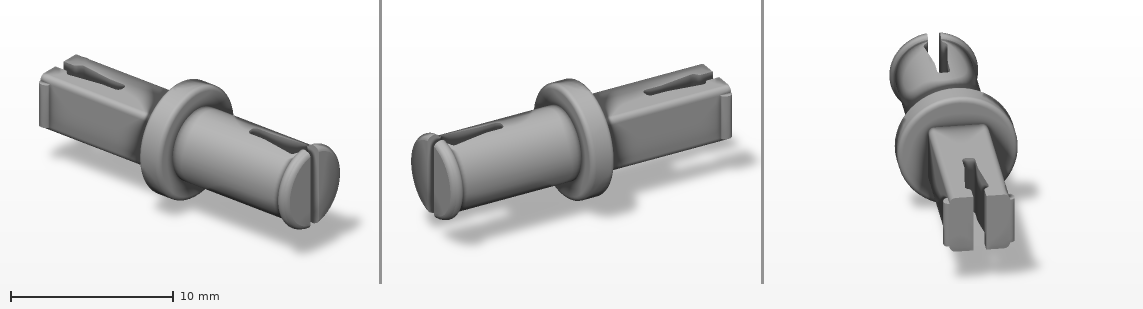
import cadquery as cq

length = 20.2

collar_diameter = 7.5
collar_start = 9.25
collar_width = 1.68
collar_end = collar_start + collar_width
collar_round = 0.3

square_side = 3.75
square_round = 0.38
barb_width = 0.77
barb_crest = 2.22
barb_nose = 0.15

shaft_diameter = 4.87
bead_width = 0.83
bead_diameter = 5.51
bead_nose = 0.26

nose_drop = 0.06
nose_middle_drop = 0.16
nose_middle = 0.35
back_drop = 0.2

mouth_half_width = 0.4
mouth_length = 0.95
belly_half_width = 0.77
belly_corner = 1.15
taper_end = 3.7
slot_length = 5.03
slot_round = 0.3
taper_round = 3.03


def cylinder(start, width, diameter):
    """Solid disc or shaft along X."""
    return cq.Workplane("YZ", origin=(start, 0, 0)).circle(diameter / 2).extrude(width)


def ridge_profile(width, crest, base, nose):
    """Ridge section in XY from the X axis up, with its lead-in at X = 0."""
    return (
        cq.Workplane("XY")
        .lineTo(0, base)
        .threePointArc((nose * nose_middle, crest - nose_middle_drop), (nose, crest - nose_drop))
        .threePointArc((width / 2, crest), (width, crest - back_drop))
        .lineTo(width, 0)
        .close()
    )


def barb():
    """Ridge on the +Y face, running between the rounded corners."""
    profile = ridge_profile(barb_width, barb_crest, square_side / 2, barb_nose)
    return profile.extrude(square_side / 2 - square_round, both=True)


def bead():
    """Ridge revolved around the far end of the shaft, lead-in facing +X."""
    profile = ridge_profile(bead_width, bead_diameter / 2, shaft_diameter / 2, bead_nose)
    ring = profile.revolve(360, (0, 0, 0), (1, 0, 0))
    return ring.mirror("YZ").translate((length, 0, 0))


def spring_slot():
    """Narrow mouth, wide belly and tapered root, cut through along Z from X = 0."""
    upper_side = [
        (0, mouth_half_width),
        (mouth_length, mouth_half_width),
        (belly_corner, belly_half_width),
        (taper_end, mouth_half_width),
        (slot_length, mouth_half_width),
    ]
    lower_side = [(x, -y) for x, y in reversed(upper_side)]
    corner_rounds = [
        (mouth_length, slot_round),
        (belly_corner, slot_round),
        (taper_end, taper_round),
        (slot_length, slot_round),
    ]
    pick = 0.02
    slot = cq.Workplane("XY").polyline(upper_side + lower_side).close()
    slot = slot.extrude(collar_diameter / 2, both=True)
    for corner_x, radius in corner_rounds:
        corners = cq.selectors.BoxSelector(
            (corner_x - pick, -collar_diameter, -pick),
            (corner_x + pick, collar_diameter, pick),
        )
        slot = slot.edges("|Z").edges(corners).fillet(radius)
    return slot


collar = cylinder(collar_start, collar_width, collar_diameter).edges().fillet(collar_round)

square_bar = (
    cq.Workplane("YZ")
    .rect(square_side, square_side)
    .extrude(collar_end)
    .edges("|X")
    .fillet(square_round)
)
upper_barb = barb()
lower_barb = upper_barb.mirror("XZ")

shaft = cylinder(collar_start, length - collar_start, shaft_diameter)

near_slot = spring_slot()
far_slot = near_slot.mirror("YZ").translate((length, 0, 0))

result = collar.union(square_bar).union(upper_barb).union(lower_barb).union(shaft).union(bead())
result = result.cut(near_slot).cut(far_slot)